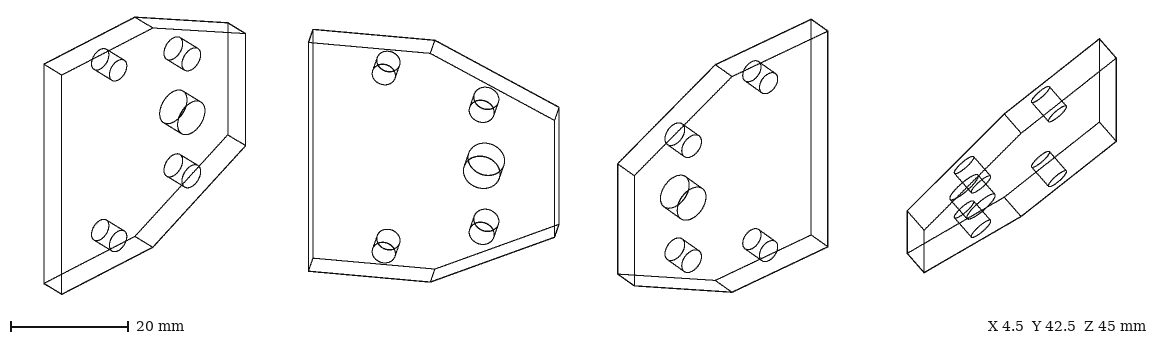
import cadquery as cq

thickness = 4.5
width = 42.45
height = 45.0

straight_length = 21.0
narrow_height = 23.0

center_hole_diameter = 6.3
narrow_hole_diameter = 4.3
narrow_hole_spacing = 24.0
narrow_hole_inset = 12.55
wide_hole_diameter = 4.0
wide_hole_spacing = 35.0
wide_hole_inset = 13.0

face_origin = (-thickness / 2, 0, 0)
wide_edge = -width / 2
narrow_edge = width / 2
taper_start = wide_edge + straight_length
narrow_hole_y = narrow_edge - narrow_hole_inset
wide_hole_y = wide_edge + wide_hole_inset


def make_plate():
    """Six-sided plate drawn in the YZ plane."""
    outline = [
        (wide_edge, -height / 2),
        (taper_start, -height / 2),
        (narrow_edge, -narrow_height / 2),
        (narrow_edge, narrow_height / 2),
        (taper_start, height / 2),
        (wide_edge, height / 2),
    ]
    return cq.Workplane("YZ", origin=face_origin).polyline(outline).close().extrude(thickness)


def make_holes(diameter, centers):
    """Cylinders that cut through the full thickness."""
    return cq.Workplane("YZ", origin=face_origin).pushPoints(centers).circle(diameter / 2).extrude(thickness)


def mirrored_pair(y, spacing):
    """Two centres placed symmetrically above and below the mid-height."""
    return [(y, -spacing / 2), (y, spacing / 2)]


result = (
    make_plate()
    .cut(make_holes(center_hole_diameter, [(narrow_hole_y, 0)]))
    .cut(make_holes(narrow_hole_diameter, mirrored_pair(narrow_hole_y, narrow_hole_spacing)))
    .cut(make_holes(wide_hole_diameter, mirrored_pair(wide_hole_y, wide_hole_spacing)))
)